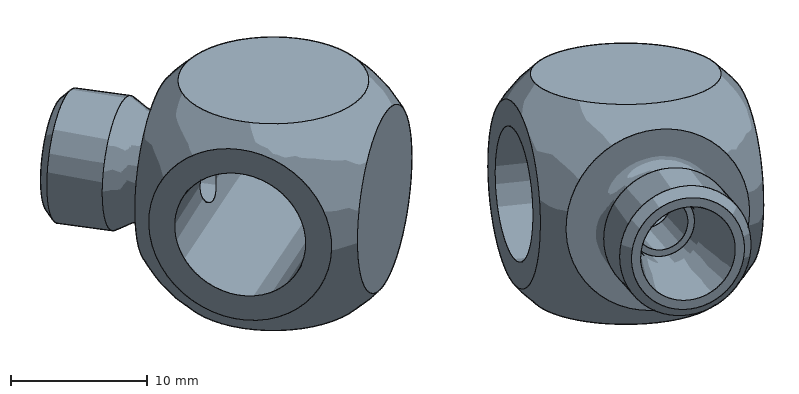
import cadquery as cq
import math

body_width = 17
sphere_diameter = 22
cross_bore_diameter = 10

stub_length = 8
stub_diameter = 10
tip_chamfer = 0.7
thread_length = 4.92
neck_diameter = 8.4
neck_taper_angle = 30
neck_fillet = 0.8

cone_mouth_diameter = 7.2
cone_full_angle = 24
tube_diameter = 5
tube_seat_depth = 7
passage_diameter = 4

body_face_x = -body_width / 2
tip_x = body_face_x - stub_length


def make_body():
    cube = cq.Workplane("XY").box(body_width, body_width, body_width)
    return cube.intersect(cq.Workplane("XY").sphere(sphere_diameter / 2))


def make_stub():
    """Revolve the stub about X, with an undercut neck that flares into the body."""
    stub_radius = stub_diameter / 2
    neck_radius = neck_diameter / 2
    thread_end_x = tip_x + thread_length

    taper_angle = math.radians(neck_taper_angle)
    taper_end_r = neck_radius + neck_fillet * (1 - math.cos(taper_angle))
    taper_end_x = thread_end_x + (stub_radius - taper_end_r) / math.tan(taper_angle)
    neck_start_x = taper_end_x + neck_fillet * math.sin(taper_angle)
    blend_mid_x = neck_start_x - neck_fillet * math.sin(taper_angle / 2)
    blend_mid_r = neck_radius + neck_fillet * (1 - math.cos(taper_angle / 2))

    fillet_mid = neck_fillet * math.sqrt(0.5)
    fillet_center_x = body_face_x - neck_fillet
    fillet_center_r = neck_radius + neck_fillet
    return (
        cq.Workplane("XY")
        .moveTo(tip_x, 0)
        .lineTo(tip_x, stub_radius - tip_chamfer)
        .lineTo(tip_x + tip_chamfer, stub_radius)
        .lineTo(thread_end_x, stub_radius)
        .lineTo(taper_end_x, taper_end_r)
        .threePointArc((blend_mid_x, blend_mid_r), (neck_start_x, neck_radius))
        .lineTo(fillet_center_x, neck_radius)
        .threePointArc(
            (fillet_center_x + fillet_mid, fillet_center_r - fillet_mid),
            (body_face_x, fillet_center_r),
        )
        .lineTo(0, fillet_center_r)
        .lineTo(0, 0)
        .close()
        .revolve(360, (0, 0, 0), (1, 0, 0))
    )


def make_passage():
    """Tapered tube seat at the tip, narrowing in a step to the through passage."""
    mouth_radius = cone_mouth_diameter / 2
    tube_radius = tube_diameter / 2
    passage_radius = passage_diameter / 2
    cone_depth = (mouth_radius - tube_radius) / math.tan(math.radians(cone_full_angle / 2))
    return (
        cq.Workplane("XY")
        .moveTo(tip_x, 0)
        .lineTo(tip_x, mouth_radius)
        .lineTo(tip_x + cone_depth, tube_radius)
        .lineTo(tip_x + tube_seat_depth, tube_radius)
        .lineTo(tip_x + tube_seat_depth, passage_radius)
        .lineTo(0, passage_radius)
        .lineTo(0, 0)
        .close()
        .revolve(360, (0, 0, 0), (1, 0, 0))
    )


def make_cross_bore():
    return cq.Workplane("XZ").circle(cross_bore_diameter / 2).extrude(body_width / 2, both=True)


result = make_body().union(make_stub()).cut(make_passage()).cut(make_cross_bore())